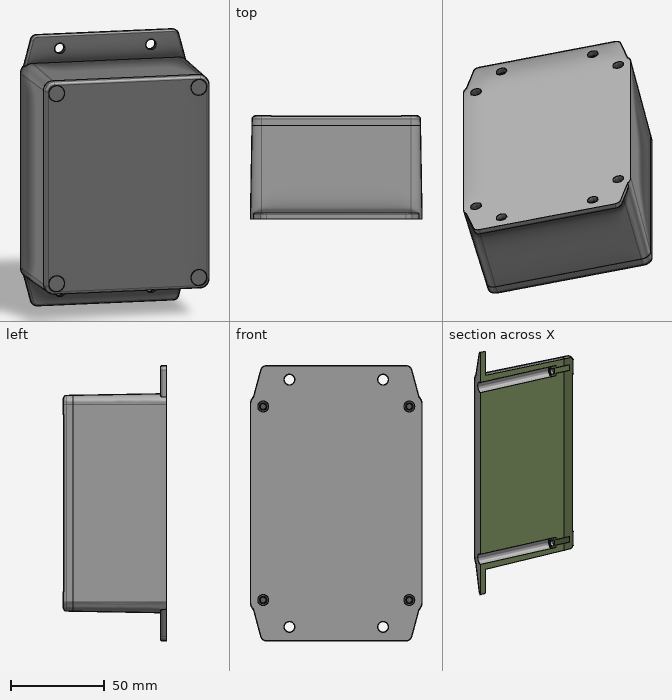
import cadquery as cq
import math

width = 91.75
height = 117.1
depth = 55.0
draft_angle = 1.0
corner_radius = 5.87
rim_fillet = 1.5
lid_thickness = 5.0

flange_span = 146.96
flange_thickness = 3.3
flange_end_width = 79.4
flange_side_angle = 15.0
flange_corner_radius = 3.3
flange_edge_fillet = 0.9
mount_hole_diameter = 5.6
mount_hole_spacing_x = 50.0
mount_hole_inset = 7.5
mount_hole_spacing_z = flange_span - 2 * mount_hole_inset

screw_spacing_x = 78.0
screw_spacing_z = 103.3
screw_head_diameter = 5.8
screw_head_height = 3.0
screw_shank_diameter = 3.0
screw_seat_to_lid = 5.0
screw_grip_in_lid = 3.0
socket_diameter = 3.1
socket_mouth_diameter = 3.9
socket_depth = 2.0

pad_diameter = 8.6
pad_height = 0.38

parting_y = depth - lid_thickness
screw_seat_y = parting_y - screw_seat_to_lid
screw_top_y = screw_seat_y - screw_head_height
screw_tip_y = parting_y + screw_grip_in_lid


def sketch_plane(y):
    """Plane at the given Y whose local axes are X and -Z, and whose normal is +Y."""
    return cq.Workplane(cq.Plane(origin=(0, y, 0), xDir=(1, 0, 0), normal=(0, 1, 0)))


def cylinder(x, z, y_start, y_end, diameter):
    """Round bar along Y."""
    return sketch_plane(y_start).center(x, -z).circle(diameter / 2).extrude(y_end - y_start)


def four_places(spacing_x, spacing_z):
    """The (x, z) corners of a rectangle centred on the part."""
    return [(i * spacing_x / 2, k * spacing_z / 2) for i in (-1, 1) for k in (-1, 1)]


def make_enclosure():
    """Closed outer shape of housing and lid together, with its far rim rounded."""
    outline = cq.Sketch().rect(width, height).vertices().fillet(corner_radius)
    block = sketch_plane(0).placeSketch(outline).extrude(depth, taper=draft_angle)
    return block.faces(">Y").edges().fillet(rim_fillet)


def make_flange_plate():
    """Plate whose sides flare out from each Z end until they run inside the enclosure."""
    end_x = flange_end_width / 2
    end_z = flange_span / 2
    root_z = height / 2 - corner_radius
    root_x = end_x + (end_z - root_z) * math.tan(math.radians(flange_side_angle))
    half = [(-root_x, root_z), (-end_x, end_z), (end_x, end_z), (root_x, root_z)]
    outline = half + [(-x, -z) for x, z in half]
    plate = sketch_plane(0).polyline(outline).close().extrude(flange_thickness)
    end_corners = plate.edges("|Y").filter(lambda edge: abs(edge.Center().z) > height / 2)
    plate = end_corners.fillet(flange_corner_radius)
    return plate.faces(">Y").edges().fillet(flange_edge_fillet)


def make_screw(x, z):
    """Cylinder-head screw with a round socket whose mouth is chamfered."""
    head = cylinder(x, z, screw_top_y, screw_seat_y, screw_head_diameter)
    shank = cylinder(x, z, screw_seat_y, screw_tip_y, screw_shank_diameter)
    socket = cylinder(x, z, screw_top_y, screw_top_y + socket_depth, socket_diameter)
    mouth_chamfer = (socket_mouth_diameter - socket_diameter) / 2
    mouth = cq.Solid.makeCone(
        socket_mouth_diameter / 2,
        socket_diameter / 2,
        mouth_chamfer,
        pnt=cq.Vector(x, screw_top_y, z),
        dir=cq.Vector(0, 1, 0),
    )
    return head.union(shank).cut(socket).cut(mouth)


def make_housing(enclosure):
    """Enclosure below the parting plane, with the flanges, mounting holes and screw bores."""
    lower_side = sketch_plane(0).rect(2 * width, 2 * height).extrude(parting_y)
    housing = enclosure.intersect(lower_side).union(make_flange_plate())
    for x, z in four_places(mount_hole_spacing_x, mount_hole_spacing_z):
        housing = housing.cut(cylinder(x, z, 0, flange_thickness, mount_hole_diameter))
    for x, z in four_places(screw_spacing_x, screw_spacing_z):
        housing = housing.cut(cylinder(x, z, 0, screw_seat_y, screw_head_diameter))
        housing = housing.cut(cylinder(x, z, screw_seat_y, parting_y, screw_shank_diameter))
    return housing


def make_lid(enclosure):
    """Enclosure above the parting plane, with a blind hole and a pad in line with each screw."""
    upper_side = sketch_plane(parting_y).rect(2 * width, 2 * height).extrude(lid_thickness)
    lid = enclosure.intersect(upper_side)
    for x, z in four_places(screw_spacing_x, screw_spacing_z):
        lid = lid.cut(cylinder(x, z, parting_y, screw_tip_y, screw_shank_diameter))
        lid = lid.union(cylinder(x, z, depth, depth + pad_height, pad_diameter))
    return lid


enclosure = make_enclosure()
housing = make_housing(enclosure)
lid = make_lid(enclosure)
screws = [make_screw(x, z) for x, z in four_places(screw_spacing_x, screw_spacing_z)]

result = cq.Compound.makeCompound([housing.val(), lid.val(), *[screw.val() for screw in screws]])